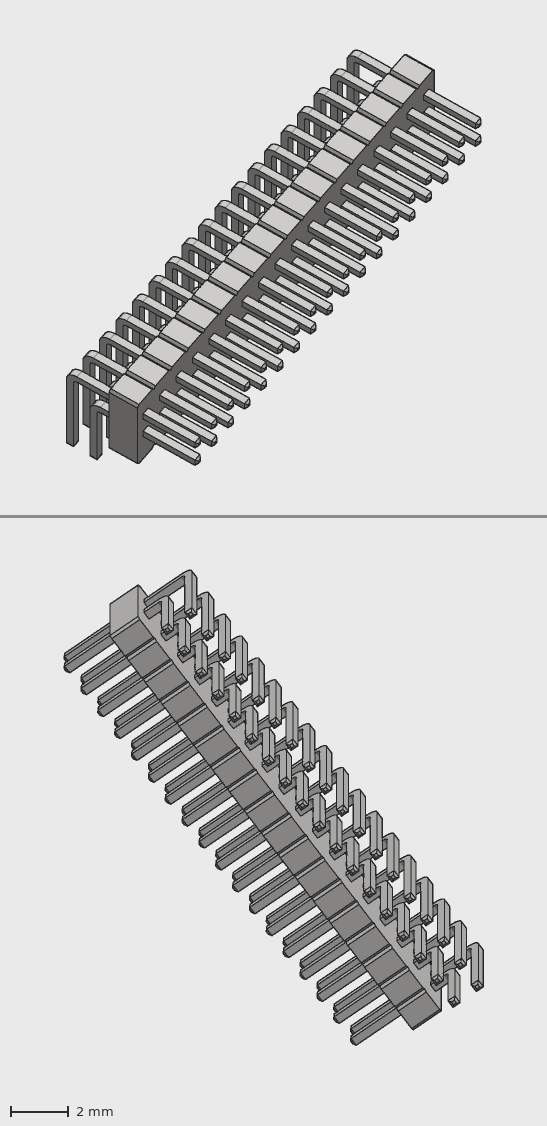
import cadquery as cq


total_length = 18.0
total_width = 5.55
total_height = 5.0
pin_count = 18
pitch = total_length / pin_count

bar_width = 1.2
bar_height = 3.38
notch_depth = 0.1
bar_bottom = total_height - bar_height

pin_size = 0.3
tip_chamfer = 0.09
bend_outer_radius = 0.45
bend_inner_radius = bend_outer_radius - pin_size
tail_reach = 2.05
outer_row_depth = 0.95
outer_row_left = -bar_width / 2 - tail_reach
pin_right = outer_row_left + total_width
outer_row_top = total_height - outer_row_depth + pin_size / 2


def bar_segment(y_centre):
    """One insulator position, chamfered along its four long X edges."""
    return (
        cq.Workplane("XY")
        .box(bar_width, pitch, bar_height, centered=(True, True, False))
        .edges("|X")
        .chamfer(notch_depth)
        .translate((0, y_centre, bar_bottom))
    )


def bent_pin(left, top):
    """L-shaped square pin with a rounded bend and chamfered tips, centred on Y = 0."""
    return (
        cq.Workplane("XZ")
        .moveTo(left, 0)
        .lineTo(left, top - bend_outer_radius)
        .radiusArc((left + bend_outer_radius, top), bend_outer_radius)
        .lineTo(pin_right, top)
        .lineTo(pin_right, top - pin_size)
        .lineTo(left + bend_outer_radius, top - pin_size)
        .radiusArc((left + pin_size, top - bend_outer_radius), -bend_inner_radius)
        .lineTo(left + pin_size, 0)
        .close()
        .extrude(pin_size / 2, both=True)
        .faces("<Z or >X")
        .edges()
        .chamfer(tip_chamfer)
    )


outer_pin = bent_pin(outer_row_left, outer_row_top)
inner_pin = bent_pin(outer_row_left + pitch, outer_row_top - pitch)

result = cq.Workplane("XY")
for index in range(pin_count):
    y_centre = (index - (pin_count - 1) / 2) * pitch
    result = result.union(bar_segment(y_centre))
    for pin in (outer_pin, inner_pin):
        result = result.union(pin.translate((0, y_centre, 0)))